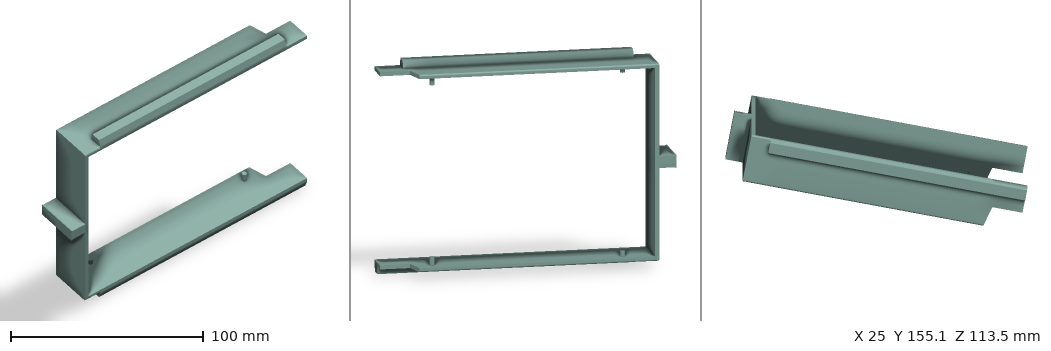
import cadquery as cq

width = 25.0
depth = 155.1
height = 113.5

rail_height = 4.2
frame_top = height / 2 - rail_height
web_front = 9.2
wall = 2.2
arm_inner = frame_top - wall
edge_radius = 1.0

notch_width = 10.7
notch_start = 136.3
notch_corner = 139.1

rail_front = 19.2
upper_rail_back = 141.6
lower_rail_back = depth
rail_base_width = 8.2
rail_shoulder_width = 7.3
rail_top_width = 5.5
rail_shoulder_height = 1.5
rail_foot_bulge = 0.08
rail_center = width - rail_base_width / 2

pin_x = 5.9
pins = [(128.5, 2.6, 4.7), (27.5, 2.5, 2.8)]

grip_height = 6.0
grip_face_height = 7.0
grip_flare_depth = 1.0


def make_frame():
    """U-shaped strap with rounded outer long edges on both arms."""
    outer = cq.Workplane("XY").box(
        width, depth - web_front, 2 * frame_top, centered=(False, False, True)
    )
    outer = outer.edges("|Y").fillet(edge_radius)
    opening = cq.Workplane("XY").box(
        width, depth - web_front - wall, 2 * arm_inner, centered=(False, False, True)
    )
    frame = outer.cut(opening.translate((0, wall, 0)))
    return frame.translate((0, web_front, 0))


def make_notch():
    """Cutter through both arms, with a sloping front end."""
    return (
        cq.Workplane("XY")
        .moveTo(0, notch_start)
        .lineTo(notch_width, notch_corner)
        .lineTo(notch_width, depth)
        .lineTo(0, depth)
        .close()
        .extrude(frame_top, both=True)
    )


def make_upper_rail(back):
    """Guide rail on the upper arm, from the common front end to the given back end."""
    half_base = rail_base_width / 2
    half_shoulder = rail_shoulder_width / 2
    half_top = rail_top_width / 2
    foot_middle = (half_base + half_shoulder) / 2 + rail_foot_bulge
    root = frame_top - edge_radius
    shoulder = frame_top + rail_shoulder_height
    middle = frame_top + rail_shoulder_height / 2
    return (
        cq.Workplane("XZ", origin=(rail_center, back, 0))
        .moveTo(-half_base, root)
        .lineTo(-half_base, frame_top)
        .threePointArc((-foot_middle, middle), (-half_shoulder, shoulder))
        .lineTo(-half_top, height / 2)
        .lineTo(half_top, height / 2)
        .lineTo(half_shoulder, shoulder)
        .threePointArc((foot_middle, middle), (half_base, frame_top))
        .lineTo(half_base, root)
        .close()
        .extrude(back - rail_front)
    )


def make_square_edge():
    """Fills the rounded +X edge of the upper arm behind its rail, leaving the end square."""
    return cq.Workplane("XY").box(
        edge_radius, depth - upper_rail_back, edge_radius, centered=False
    ).translate((width - edge_radius, upper_rail_back, frame_top - edge_radius))


def make_upper_pin(y, diameter, length):
    """Pin hanging from the inner face of the upper arm."""
    return (
        cq.Workplane("XY", origin=(pin_x, y, arm_inner))
        .circle(diameter / 2)
        .extrude(-length)
    )


def make_grip():
    """Full-width grip bar with a flared front face."""
    half = grip_height / 2
    half_face = grip_face_height / 2
    return (
        cq.Workplane("YZ")
        .polyline([
            (web_front, -half),
            (grip_flare_depth, -half),
            (0, -half_face),
            (0, half_face),
            (grip_flare_depth, half),
            (web_front, half),
        ])
        .close()
        .extrude(width)
    )


result = make_frame().cut(make_notch()).union(make_grip())
result = result.union(make_upper_rail(upper_rail_back))
result = result.union(make_upper_rail(lower_rail_back).mirror("XY"))
result = result.union(make_square_edge()).clean()
for pin_y, pin_diameter, pin_length in pins:
    pin = make_upper_pin(pin_y, pin_diameter, pin_length)
    result = result.union(pin).union(pin.mirror("XY"))